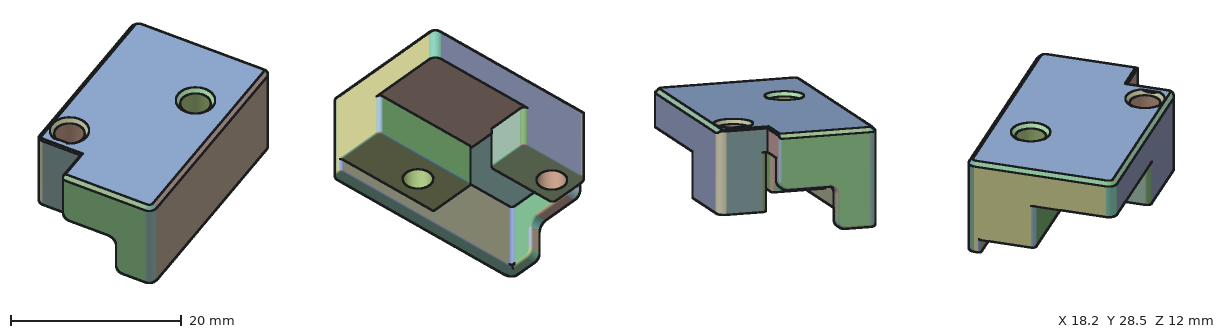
import cadquery as cq

width = 18.2
length = 28.5
height = 12.0
corner_radius = 1.0
top_chamfer = 0.5

notch_width = 6.05
notch_depth = 4.47
notch_chamfer = 0.2

front_ceiling = 8.95
back_ceiling = 7.38

plate_thickness = 1.6
plate_rounding = 0.3
plate_bottom = 5.22
leg_left = 13.17
wall_thickness = 1.8
wall_end_radius = 0.3
wall_corner_fillet = 0.43

boss_bottom = 1.7
left_boss_back = 14.48
left_boss_radius = 0.6
right_boss_left = 9.72
right_boss_radius = 0.5
bottom_rounding = 0.2
step_y = left_boss_back - left_boss_radius

hole_diameter = 3.6
countersink_depth = 0.5
left_hole = (2.88, 7.5)
right_hole = (13.2, 19.32)
left_countersink_front = 5.45


def block(x_min, x_max, y_min, y_max, z_min, z_max):
    """Plain box given by its limits along each axis."""
    size = (x_max - x_min, y_max - y_min, z_max - z_min)
    return cq.Workplane("XY").box(*size, centered=False).translate((x_min, y_min, z_min))


def round_corner(solid, x, y, radius):
    """Round the vertical edge that stands at (x, y)."""
    middle = solid.val().BoundingBox().center.z
    return solid.edges(cq.NearestToPointSelector((x, y, middle))).fillet(radius)


def make_envelope():
    """Outer shape: rounded, chamfered box with the notch taken out."""
    outer = (
        block(0, width, 0, length, 0, height)
        .edges("|Z").fillet(corner_radius)
        .faces(">Z").chamfer(top_chamfer)
    )
    notch = block(0, notch_width, 0, notch_depth, 0, height)
    notched = block(0, width, 0, length, 0, height).cut(notch)
    notched = round_corner(notched, 0, notch_depth, corner_radius)
    notched = notched.faces(">Z").chamfer(notch_chamfer)
    return outer.intersect(notched)


def make_roof():
    """Roof slab with its underside stepping down towards the back."""
    front = block(0, width, corner_radius, step_y, front_ceiling, height)
    back = block(0, width, step_y, length, back_ceiling, height)
    return front.union(back)


def make_left_boss():
    """Boss beside the notch, rounded on every corner and along its bottom."""
    boss = block(0, notch_width, notch_depth, left_boss_back, boss_bottom, height)
    boss = round_corner(boss, 0, notch_depth, corner_radius)
    for x, y in ((notch_width, notch_depth), (0, left_boss_back), (notch_width, left_boss_back)):
        boss = round_corner(boss, x, y, left_boss_radius)
    return boss.faces("<Z").edges().fillet(bottom_rounding)


def make_right_boss():
    """Boss in the back right corner, joined to the side wall."""
    boss = block(right_boss_left, width, step_y, length, boss_bottom, height)
    for y in (step_y, length):
        boss = round_corner(boss, right_boss_left, y, right_boss_radius)
    boss = round_corner(boss, width, length, corner_radius)
    return boss.faces("<Z").edges().fillet(bottom_rounding)


def make_front_plate():
    """Stepped plate with a leg on its right, all its free edges rounded."""
    outline = [
        (notch_width, height),
        (notch_width, plate_bottom),
        (leg_left, plate_bottom),
        (leg_left, 0),
        (width, 0),
        (width, height),
    ]
    plate = cq.Workplane("XZ").polyline(outline).close().extrude(-plate_thickness)
    for x, z in ((notch_width, plate_bottom), (leg_left, plate_bottom), (leg_left, 0)):
        step_edge = cq.NearestToPointSelector((x, plate_thickness / 2, z))
        plate = plate.edges(step_edge).fillet(corner_radius)
    plate = round_corner(plate, width, 0, corner_radius)
    for y in (0, plate_thickness):
        free_edge = cq.NearestToPointSelector((notch_width, y, (height + plate_bottom) / 2))
        plate = plate.edges(free_edge).fillet(plate_rounding)
    return plate


def make_side_wall():
    """Wall along the +X side, reaching down to the lowest face."""
    inner = width - wall_thickness
    wall = block(inner, width, corner_radius, length, 0, height)
    wall = round_corner(wall, width, length, corner_radius)
    wall = round_corner(wall, inner, length, wall_end_radius)
    return wall.faces("<Z").edges().fillet(bottom_rounding)


def make_wall_fillet():
    """Concave rounding where the side wall meets the back of the front plate."""
    x = width - wall_thickness
    y = plate_thickness
    web = block(x - wall_corner_fillet, x, y, y + wall_corner_fillet, bottom_rounding, height)
    hollow = (
        cq.Workplane("XY")
        .center(x - wall_corner_fillet, y + wall_corner_fillet)
        .circle(wall_corner_fillet)
        .extrude(height)
    )
    return web.cut(hollow)


def make_screw_hole(x, y):
    """Cutters for a through hole and for its countersink at the top face."""
    radius = hole_diameter / 2
    drill = cq.Workplane("XY").center(x, y).circle(radius).extrude(height)
    countersink = cq.Solid.makeCone(
        radius, radius + countersink_depth, countersink_depth,
        cq.Vector(x, y, height - countersink_depth),
    )
    return drill, cq.Workplane("XY").add(countersink)


pieces = [
    make_left_boss(),
    make_right_boss(),
    make_front_plate(),
    make_side_wall(),
    make_wall_fillet(),
]
body = make_roof()
for piece in pieces:
    body = body.union(piece)
body = body.intersect(make_envelope())

for hole in (left_hole, right_hole):
    drill, countersink = make_screw_hole(*hole)
    if hole == left_hole:
        countersink = countersink.intersect(block(0, width, left_countersink_front, length, 0, height))
    body = body.cut(drill).cut(countersink)

result = body